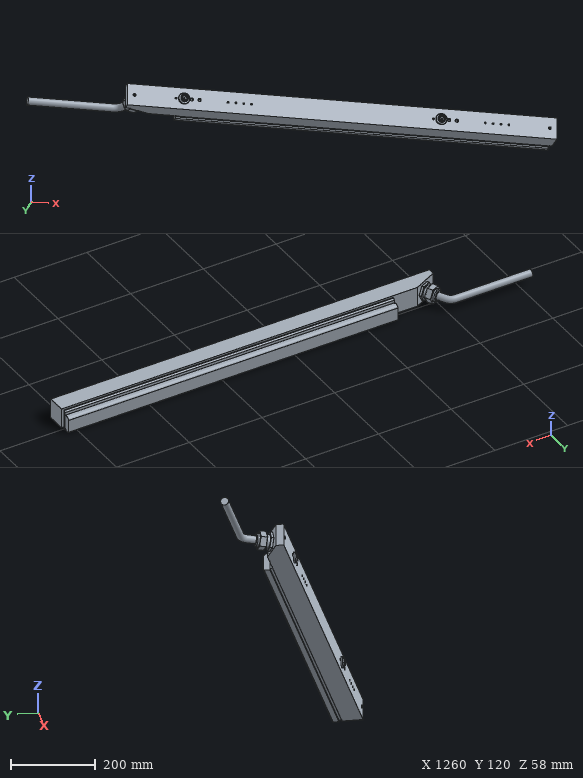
import cadquery as cq
import math

total_length = 1260.0
total_depth = 120.0
total_height = 58.0

housing_left = 218.0
housing_height = 54.0
housing_front = 8.0
housing_depth = 50.0
housing_back = housing_front + housing_depth
housing_bottom = total_height - housing_height
housing_edge_round = 1.0
slant_length = 63.0
slant_depth = 32.0
slant_angle = math.atan2(slant_depth, slant_length)
slant_start_y = housing_back - slant_depth

axis_height = 30.0

hole_depth = 6.0
end_hole_diameter = 6.0
end_hole_inset = 18.0
hole_pitch = 19.0
small_hole_diameter = 4.0
large_hole_diameter = 7.5
row_offset = 107.0
row_count = 4

screw_positions = [355.0, 980.0]
screw_rim_diameter = 26.0
screw_rim = 4.0
screw_head_diameter = 18.0
socket_diameter = 11.8
socket_depth = 4.0
socket_center_diameter = 4.0
socket_center_depth = 6.0

strip_left = 348.0
strip_right = 1254.0
rail_depth = 6.0
rail_top = 53.0
rail_chamfer = 4.0
strip_depth = 16.0
strip_crest = 43.0
strip_inner_height = 42.0
strip_outer_height = 37.0
strip_chamfer = 3.0

cable_diameter = 20.0
cable_axis_y = total_depth - cable_diameter / 2
bend_start_x = 207.0
bend_radius = 23.0
bend_angle = math.pi / 2 - slant_angle

nut_width = 40.0
nut_corner_diameter = nut_width / math.cos(math.pi / 6)
base_thickness = 6.0
body_diameter = 33.0
body_length = 9.0
nut_length = 16.0
cap_diameter = 33.0
cap_length = 8.0
cap_chamfer = 3.0
nut_chamfer = 1.0

inward = (math.sin(slant_angle), -math.cos(slant_angle))
bend_end = (
    bend_start_x + bend_radius * math.sin(bend_angle),
    cable_axis_y - bend_radius * (1 - math.cos(bend_angle)),
)
bend_middle = (
    bend_start_x + bend_radius * math.sin(bend_angle / 2),
    cable_axis_y - bend_radius * (1 - math.cos(bend_angle / 2)),
)
face_normal = (-math.sin(slant_angle), math.cos(slant_angle))
entry_length = (
    (bend_end[0] - housing_left) * face_normal[0] + (bend_end[1] - slant_start_y) * face_normal[1]
)
entry = (bend_end[0] + entry_length * inward[0], bend_end[1] + entry_length * inward[1])


def front_plane(y):
    """Sketch plane facing -Y, with local x along X and local y along Z."""
    return cq.Workplane("XZ", origin=(0, y, 0))


def gland_plane(height):
    """Plane parallel to the slanted face, with local y along Z, at a height above that face."""
    origin = (
        entry[0] + height * face_normal[0],
        entry[1] + height * face_normal[1],
        axis_height,
    )
    along_face = (-math.cos(slant_angle), -math.sin(slant_angle), 0)
    return cq.Workplane(cq.Plane(origin=origin, xDir=along_face, normal=(*face_normal, 0)))


def drill_front(solid, positions, diameter):
    holes = (
        front_plane(housing_front)
        .pushPoints([(x, axis_height) for x in positions])
        .circle(diameter / 2)
        .extrude(-hole_depth)
    )
    return solid.cut(holes)


def make_housing():
    bar = (
        cq.Workplane("XY", origin=(0, 0, housing_bottom))
        .polyline([
            (housing_left, housing_front),
            (total_length, housing_front),
            (total_length, housing_back),
            (housing_left + slant_length, housing_back),
            (housing_left, slant_start_y),
        ])
        .close()
        .extrude(housing_height)
        .edges("<Y and >Z").fillet(housing_edge_round)
    )
    ends = [housing_left + end_hole_inset, total_length - end_hole_inset]
    bar = drill_front(bar, ends, end_hole_diameter)
    for x in screw_positions:
        row = [x + row_offset + i * hole_pitch for i in range(row_count)]
        bar = drill_front(bar, [x - hole_pitch, *row], small_hole_diameter)
        bar = drill_front(bar, [x + hole_pitch, x + 2 * hole_pitch], large_hole_diameter)
    return bar


def make_screw(x):
    """Round head on a wider rim, with a socket in the head."""
    rim = front_plane(housing_front).center(x, axis_height).circle(screw_rim_diameter / 2).extrude(screw_rim)
    head_length = housing_front - screw_rim
    head = rim.faces("<Y").workplane().circle(screw_head_diameter / 2).extrude(head_length)
    return head.faces("<Y").workplane().cboreHole(
        socket_center_diameter, socket_diameter, socket_depth, socket_center_depth
    )


def make_rail():
    size = (strip_right - strip_left, rail_depth, rail_top - housing_bottom)
    bar = cq.Workplane("XY", origin=(strip_left, housing_back, housing_bottom))
    return bar.box(*size, centered=False).edges(">Y and >Z").chamfer(rail_chamfer)


def make_strip():
    """Bar with a crowned top and one chamfered lower edge."""
    inner = housing_back + rail_depth
    outer = inner + strip_depth
    return (
        cq.Workplane("YZ", origin=(strip_left, 0, 0))
        .moveTo(inner, 0)
        .lineTo(outer - strip_chamfer, 0)
        .lineTo(outer, strip_chamfer)
        .lineTo(outer, strip_outer_height)
        .threePointArc((inner + strip_depth / 2, strip_crest), (inner, strip_inner_height))
        .close()
        .extrude(strip_right - strip_left)
    )


def make_cable():
    path = (
        cq.Workplane("XY", origin=(0, 0, axis_height))
        .moveTo(0, cable_axis_y)
        .lineTo(bend_start_x, cable_axis_y)
        .threePointArc(bend_middle, bend_end)
        .lineTo(*entry)
    )
    section = cq.Workplane("YZ", origin=(0, cable_axis_y, axis_height)).circle(cable_diameter / 2)
    return section.sweep(path)


def bore_for_cable(height, length):
    return gland_plane(height).circle(cable_diameter / 2).extrude(length)


def make_gland_hexagon(height, length):
    """Hexagon with flats facing up and down, bored for the cable."""
    hexagon = gland_plane(height).polygon(6, nut_corner_diameter).extrude(length)
    return hexagon.cut(bore_for_cable(height, length))


def make_gland_body(height):
    sleeve = gland_plane(height).circle(body_diameter / 2).extrude(body_length)
    return sleeve.cut(bore_for_cable(height, body_length))


def make_gland_nut(height):
    """Hexagonal nut with chamfered corners and a round chamfered cap."""
    cap_base = height + nut_length
    outermost = cq.selectors.DirectionMinMaxSelector(cq.Vector(*face_normal, 0), True)
    corner_cutter = gland_plane(height).circle(nut_corner_diameter / 2).extrude(nut_length)
    corner_cutter = corner_cutter.faces(outermost).chamfer(nut_chamfer)
    nut = make_gland_hexagon(height, nut_length).intersect(corner_cutter)
    cap = gland_plane(cap_base).circle(cap_diameter / 2).extrude(cap_length)
    cap = cap.faces(outermost).chamfer(cap_chamfer).cut(bore_for_cable(cap_base, cap_length))
    return nut.union(cap)


housing = make_housing()
screws = [make_screw(x) for x in screw_positions]
rail = make_rail()
strip = make_strip()
cable = make_cable()
gland_base = make_gland_hexagon(0, base_thickness)
gland_body = make_gland_body(base_thickness)
gland_nut = make_gland_nut(base_thickness + body_length)

result = cq.Compound.makeCompound([
    housing.val(),
    *[screw.val() for screw in screws],
    rail.val(),
    strip.val(),
    cable.val(),
    gland_base.val(),
    gland_body.val(),
    gland_nut.val(),
])